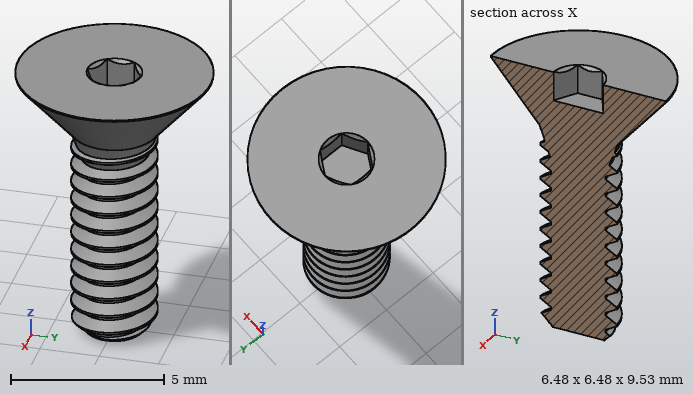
import cadquery as cq
import math

length = 9.53
head_radius = 3.24
rim_thickness = 0.06
head_height = 2.12
head_half_angle = 41.0
head_base_z = length - head_height
neck_radius = head_radius - (head_height - rim_thickness) * math.tan(math.radians(head_half_angle))

pitch = 0.635
major_radius = 1.42
flat_width = pitch / 8
flank_slope = math.tan(math.radians(30))
flank_width = (pitch - 2 * flat_width) / 2
root_radius = major_radius - flank_width / flank_slope
crest_z = 0.52
turns = 15
turns_below_crest = 2
root_embed = 0.03
core_overrun = 1.91
head_embed = 0.19
tip_radius = 0.95
neck_half_angle = 20.0

socket_flats = 1.58
socket_depth = 1.06
socket_corners = socket_flats / math.cos(math.radians(30))


def make_head():
    """Countersunk head with a thin cylindrical rim."""
    outline = [
        (0, head_base_z),
        (neck_radius, head_base_z),
        (head_radius, length - rim_thickness),
        (head_radius, length),
        (0, length),
    ]
    return cq.Workplane("XZ").polyline(outline).close().revolve(360, (0, 0), (0, 1))


def make_neck():
    """Cone that flares from the thread root out to the head."""
    flare_height = (neck_radius - root_radius) / math.tan(math.radians(neck_half_angle))
    outline = [
        (0, head_base_z - flare_height),
        (root_radius, head_base_z - flare_height),
        (neck_radius, head_base_z),
        (neck_radius, head_base_z + head_embed),
        (0, head_base_z + head_embed),
    ]
    return cq.Workplane("XZ").polyline(outline).close().revolve(360, (0, 0), (0, 1))


def make_core():
    """Thread root cylinder, longer than the ridge at both ends."""
    core_bottom = cq.Workplane("XY", origin=(0, 0, -core_overrun))
    return core_bottom.circle(root_radius).extrude(length + 2 * core_overrun)


def make_ridge():
    """Helical ridge, longer than the shank at both ends."""
    base_radius = root_radius - root_embed
    crest_half = flat_width / 2
    base_half = crest_half + (major_radius - base_radius) * flank_slope
    profile = [
        (base_radius, -base_half),
        (major_radius, -crest_half),
        (major_radius, crest_half),
        (base_radius, base_half),
    ]
    helix = cq.Workplane(obj=cq.Wire.makeHelix(pitch, turns * pitch, root_radius))
    ridge = cq.Workplane("XZ").polyline(profile).close().sweep(helix, isFrenet=True)
    return ridge.translate((0, 0, crest_z - turns_below_crest * pitch))


def make_envelope():
    """Space the thread may fill: the shank with its chamfered point."""
    outline = [
        (0, 0),
        (tip_radius, 0),
        (neck_radius, neck_radius - tip_radius),
        (neck_radius, head_base_z + head_embed),
        (0, head_base_z + head_embed),
    ]
    return cq.Workplane("XZ").polyline(outline).close().revolve(360, (0, 0), (0, 1))


def make_socket():
    """Blind hexagon with corners on the Y axis and a 45 degree countersink."""
    corner_radius = socket_corners / 2
    hexagon = (
        cq.Workplane("XY", origin=(0, 0, length))
        .polygon(6, socket_corners)
        .extrude(-socket_depth)
        .rotate((0, 0, 0), (0, 0, 1), 30)
    )
    countersink = cq.Workplane(
        obj=cq.Solid.makeCone(corner_radius, 0, corner_radius, cq.Vector(0, 0, length), cq.Vector(0, 0, -1))
    )
    return hexagon.union(countersink)


thread = make_core().union(make_ridge()).intersect(make_envelope())
result = thread.union(make_neck()).union(make_head()).cut(make_socket())